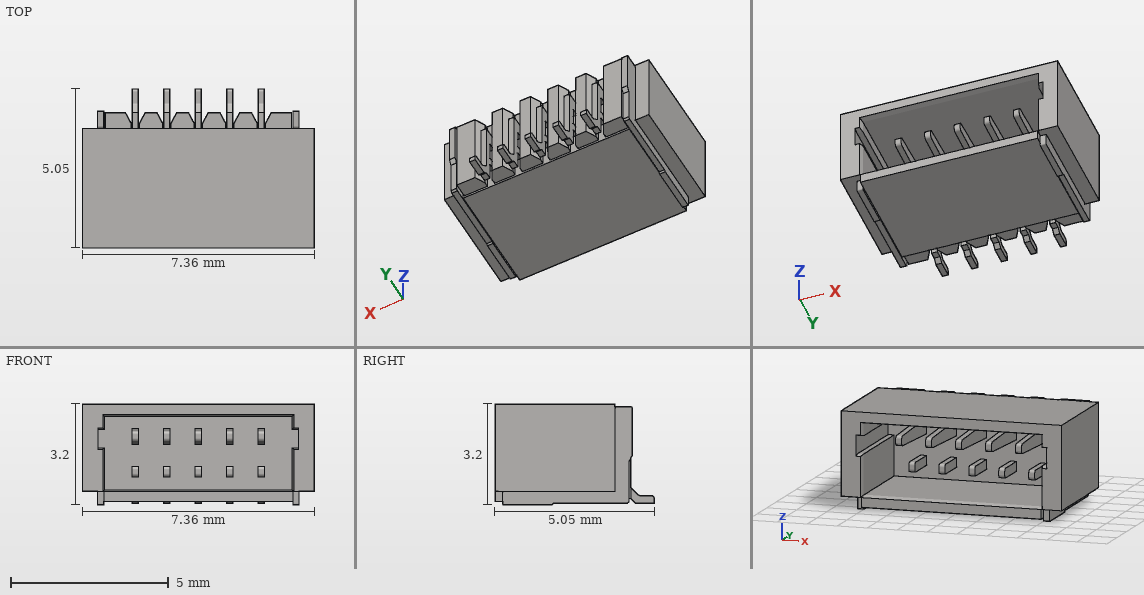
import cadquery as cq
import math

shell_width = 7.36
shell_depth = 3.8
shell_top = 3.2
shell_bottom = 0.43
lip_width = 6.0
lip_bottom = 0.11

cavity_width = 5.96
cavity_top = 2.815
cavity_floor = 0.48
cavity_depth = 3.3
lead_in = 0.05
lead_in_depth = 0.2

groove_span = 6.36
groove_top = 2.40
groove_bottom = 1.81

rib_width = 5.92
rib_top = 3.12
rib_bottom = 0.2
rib_back = 4.3
slot_width = 0.26
slot_mouth_width = 0.62
slot_straight_depth = 0.16

terminal_count = 5
terminal_pitch = 1.0
terminal_width = 0.2
prong_height = 0.32
lower_prong_top = 1.215
upper_prong_top = 2.335
upper_root_flare = 0.1
lower_tip_y = 2.1
upper_tip_y = 0.75
tip_round = 0.1
leg_front = 4.05
leg_top = upper_prong_top + upper_root_flare
foot_back = 5.05
foot_bottom = 0.05
foot_thickness = 0.25
foot_end_round = 0.1
foot_heel_y = 4.45
foot_bend_radius = 0.1
foot_slope_top = 0.56

tab_width = 0.2
tab_inner_x = lip_width / 2
tab_front = 0.235
tab_top = 3.12
tab_upper_back = 4.35
tab_lower_back = 4.25
tab_jog_top = 1.57
tab_jog_bottom = 1.39
tab_raised_bottom = 0.05
tab_foot_back = 1.8
tab_back_round = 0.05
tab_front_round = 0.04
tab_heel_chamfer = 0.06
tab_inner_round = 0.07

terminal_xs = [(i - (terminal_count - 1) / 2) * terminal_pitch for i in range(terminal_count)]


def box(width, y_start, y_end, z_start, z_end):
    """Block centred on X = 0 between the given Y and Z limits."""
    block = cq.Workplane("XY").box(width, y_end - y_start, z_end - z_start, centered=(True, False, False))
    return block.translate((0, y_start, z_start))


def extrude_profile(sketch, width, x_centre):
    """Extrude a closed YZ profile along X, centred on x_centre."""
    return sketch.extrude(width / 2, both=True).translate((x_centre, 0, 0))


def flared_opening(width, z_start, z_end, x_flare):
    """Opening cut from the front face, its mouth widening by lead_in above and below and x_flare sideways."""
    opening = box(width, 0, cavity_depth, z_start, z_end)
    z_middle = (z_start + z_end) / 2
    height = z_end - z_start
    mouth = (
        cq.Workplane("XZ", origin=(0, 0, z_middle))
        .rect(width + 2 * x_flare, height + 2 * lead_in)
        .workplane(offset=-lead_in_depth)
        .rect(width, height)
        .loft(ruled=True)
    )
    return opening.union(mouth)


def terminal_slot(x_centre):
    """Vertical slot between two ribs, flared towards the back."""
    flare_start = shell_depth + slot_straight_depth
    slot = (
        cq.Workplane("XY", origin=(x_centre, 0, rib_bottom))
        .moveTo(-slot_width / 2, shell_depth)
        .lineTo(-slot_width / 2, flare_start)
        .lineTo(-slot_mouth_width / 2, rib_back)
        .lineTo(slot_mouth_width / 2, rib_back)
        .lineTo(slot_width / 2, flare_start)
        .lineTo(slot_width / 2, shell_depth)
        .close()
    )
    return slot.extrude(rib_top - rib_bottom)


def make_prong(x_centre, tip_y, top, root_flare):
    """Contact prong with a rounded tip, thickening above and below by root_flare up to the back wall."""
    bottom = top - prong_height
    round_end = tip_y + tip_round
    sketch = (
        cq.Workplane("YZ")
        .moveTo(tip_y, bottom + tip_round)
        .lineTo(tip_y, top - tip_round)
        .radiusArc((round_end, top), tip_round)
        .lineTo(cavity_depth, top + root_flare)
        .lineTo(leg_front, top + root_flare)
        .lineTo(leg_front, bottom - root_flare)
        .lineTo(cavity_depth, bottom - root_flare)
        .lineTo(round_end, bottom)
        .radiusArc((tip_y, bottom + tip_round), tip_round)
        .close()
    )
    return extrude_profile(sketch, terminal_width, x_centre)


def make_leg(x_centre):
    """Vertical leg behind the shell with its bent solder foot."""
    foot_top = foot_bottom + foot_thickness
    bend_y = rib_back + foot_slope_top - foot_top
    bend_tangent = foot_bend_radius * math.tan(math.radians(45 / 2))
    bend_offset = bend_tangent * math.cos(math.radians(45))
    sketch = (
        cq.Workplane("YZ")
        .moveTo(leg_front, leg_top)
        .lineTo(rib_back, leg_top)
        .lineTo(rib_back, foot_slope_top)
        .lineTo(bend_y - bend_offset, foot_top + bend_offset)
        .radiusArc((bend_y + bend_tangent, foot_top), -foot_bend_radius)
        .lineTo(foot_back - foot_end_round, foot_top)
        .radiusArc((foot_back, foot_top - foot_end_round), foot_end_round)
        .lineTo(foot_back, foot_bottom)
        .lineTo(foot_heel_y, foot_bottom)
        .lineTo(rib_back, rib_bottom)
        .lineTo(leg_front, rib_bottom)
        .close()
    )
    return extrude_profile(sketch, terminal_width, x_centre)


def make_terminal(x_centre):
    """One terminal: leg and foot with a short lower prong and a long upper prong."""
    terminal = make_leg(x_centre)
    terminal = terminal.union(make_prong(x_centre, lower_tip_y, lower_prong_top, 0))
    return terminal.union(make_prong(x_centre, upper_tip_y, upper_prong_top, upper_root_flare))


def make_tab(x_centre):
    """One solder tab; the short step down to its foot runs at 45 degrees."""
    sketch = (
        cq.Workplane("YZ")
        .moveTo(shell_depth, shell_bottom)
        .lineTo(shell_depth, tab_top - tab_inner_round)
        .radiusArc((shell_depth + tab_inner_round, tab_top), tab_inner_round)
        .lineTo(tab_upper_back - tab_back_round, tab_top)
        .radiusArc((tab_upper_back, tab_top - tab_back_round), tab_back_round)
        .lineTo(tab_upper_back, tab_jog_top)
        .lineTo(tab_lower_back, tab_jog_bottom)
        .lineTo(tab_lower_back, tab_raised_bottom + tab_heel_chamfer)
        .lineTo(tab_lower_back - tab_heel_chamfer, tab_raised_bottom)
        .lineTo(tab_foot_back + tab_raised_bottom, tab_raised_bottom)
        .lineTo(tab_foot_back, 0)
        .lineTo(tab_front + tab_front_round, 0)
        .radiusArc((tab_front, tab_front_round), tab_front_round)
        .lineTo(tab_front, shell_bottom - tab_front_round)
        .radiusArc((tab_front + tab_front_round, shell_bottom), tab_front_round)
        .close()
    )
    return extrude_profile(sketch, tab_width, x_centre)


def make_housing(terminals):
    """Shell with lip and rear ribs, opened by the cavity, grooves, slots and prong holes."""
    housing = box(shell_width, 0, shell_depth, shell_bottom, shell_top)
    housing = housing.union(box(lip_width, 0, shell_depth, lip_bottom, shell_bottom))
    housing = housing.union(box(rib_width, shell_depth, rib_back, rib_bottom, rib_top))
    housing = housing.cut(flared_opening(cavity_width, cavity_floor, cavity_top, lead_in))
    housing = housing.cut(flared_opening(groove_span, groove_bottom, groove_top, 0))
    for x in terminal_xs:
        housing = housing.cut(terminal_slot(x))
    for terminal in terminals:
        housing = housing.cut(terminal)
    return housing


terminals = [make_terminal(x) for x in terminal_xs]
tab_x = tab_inner_x + tab_width / 2
tabs = [make_tab(side * tab_x) for side in (-1, 1)]
housing = make_housing(terminals)

result = cq.Compound.makeCompound(
    [
        housing.val(),
        *[terminal.val() for terminal in terminals],
        *[tab.val() for tab in tabs],
    ]
)